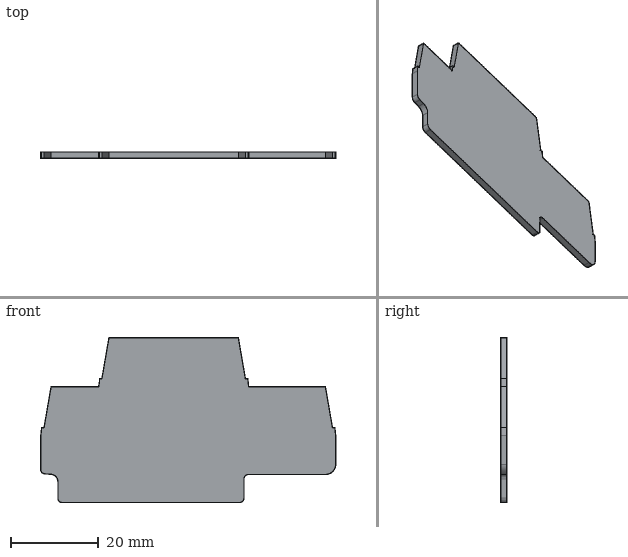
import cadquery as cq

length = 67.2
thickness = 1.5
height = 37.55

tier_step = 11.15
shoulder_z = height - tier_step
flank_drop = 9.35
flank_run = 1.6
ledge_width = 0.55
lip_drop = tier_step - flank_drop
lip_lean = 0.2
tower_lip_upright = 0.6
tier_overhang = flank_run + ledge_width + lip_lean

tower_left = 13.2
tower_right = 47.4

foot_left = 3.9
foot_right = 46.3
right_wing_z = 6.4
left_wing_outer_z = 6.6
left_wing_inner_z = 6.3

foot_left_radius = 1.0
foot_right_radius = 1.0
right_neck_radius = 1.0
left_neck_radius = 1.7
right_wing_radius = 2.35
left_wing_radius = 1.0


def flank(base_x, top_z, inward, lip_upright=0):
    """Points from the foot of a lip up to the tier top; inward is +1 or -1 along X.

    The lip leans inward, then runs upright over lip_upright just below the ledge.
    """
    ledge_z = top_z - flank_drop
    points = [(base_x, ledge_z - lip_drop)]
    if lip_upright > 0:
        points.append((base_x + inward * lip_lean, ledge_z - lip_upright))
    points += [
        (base_x + inward * lip_lean, ledge_z),
        (base_x + inward * (lip_lean + ledge_width), ledge_z),
        (base_x + inward * tier_overhang, top_z),
    ]
    return points


def plate():
    """Sharp-cornered plate, centred on Y = 0."""
    outline = [(foot_left, 0), (foot_left, left_wing_inner_z), (0, left_wing_outer_z)]
    outline += flank(0, shoulder_z, 1)
    outline += flank(tower_left, height, 1, tower_lip_upright)
    outline += reversed(flank(tower_right, height, -1))
    outline += reversed(flank(length, shoulder_z, -1))
    outline += [(length, right_wing_z), (foot_right, right_wing_z), (foot_right, 0)]
    return cq.Workplane("XZ").polyline(outline).close().extrude(thickness / 2, both=True)


def round_corner(body, x, z, radius):
    """Fillet the edge running through the thickness at (x, z)."""
    return body.edges(cq.selectors.NearestToPointSelector((x, 0, z))).fillet(radius)


result = plate()
for corner_x, corner_z, corner_radius in [
    (foot_left, 0, foot_left_radius),
    (foot_right, 0, foot_right_radius),
    (foot_right, right_wing_z, right_neck_radius),
    (foot_left, left_wing_inner_z, left_neck_radius),
    (length, right_wing_z, right_wing_radius),
    (0, left_wing_outer_z, left_wing_radius),
]:
    result = round_corner(result, corner_x, corner_z, corner_radius)